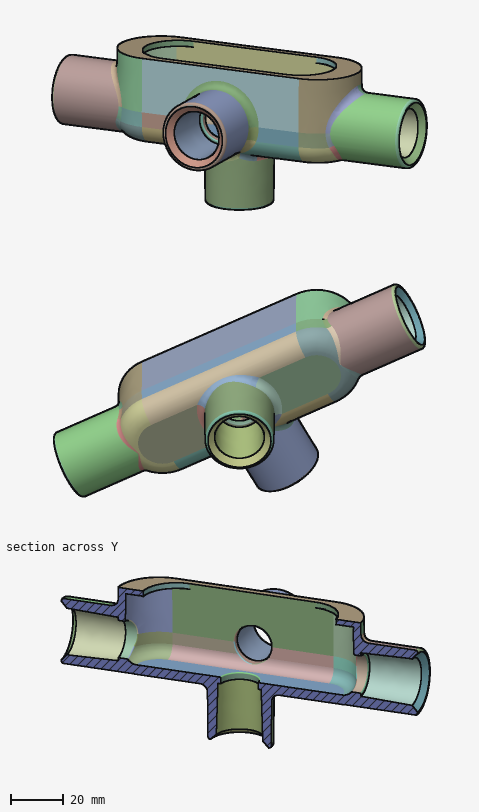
import cadquery as cq
import math

total_length = 147.2
overall_height = 57.1
body_depth = 34.9
parting_depth = 21.3
slot_center = 33.3
body_half_width = 17.2
draft_angle = 1.0
bottom_round = 7.8

wall = 3.2
floor_thickness = 4.1
floor_round = 4.7
lip_thickness = 2.4
opening_half_length = 39.8

hub_radius = 27.0 / 2
bottom_hub_root_radius = 13.5
bottom_hub_draft = 0.6
end_reach = total_length / 2
south_reach = 40.3
bottom_reach = overall_height - parting_depth
hub_blend = 3.0
hub_edge_round = 1.0

mouth_radius = 12.1
mouth_depth = 2.4
bore_radius = 19.0 / 2
bore_inner_radius = 8.8
stop_radius = 15.2 / 2
stop_length = 3.0
stop_round = 0.5

cavity_half_width = body_half_width - wall
cavity_half_length = slot_center + cavity_half_width
cavity_depth = body_depth - floor_thickness

SOUTH = cq.Vector(0, -1, 0)
DOWN = cq.Vector(0, 0, -1)
ENDS = [cq.Vector(-1, 0, 0), cq.Vector(1, 0, 0)]
hub_center = cq.Vector(0, 0, -parting_depth)


def drafted_slot(half_width, depth, edge_round):
    """Round-ended block from the rim down, drafted both ways from the parting plane."""
    outline = cq.Sketch().slot(2 * slot_center, 2 * half_width)
    base = cq.Workplane("XY", origin=hub_center.toTuple()).placeSketch(outline)
    upper = base.extrude(parting_depth, taper=draft_angle)
    lower = base.extrude(parting_depth - depth, taper=draft_angle)
    return upper.union(lower.faces("<Z").edges().fillet(edge_round))


def hub(direction, reach, root_radius=hub_radius, taper=0):
    """Round hub from the hub center, with its free edge rounded."""
    free_end = cq.selectors.DirectionMinMaxSelector(direction)
    plane = cq.Plane(hub_center, normal=direction)
    post = cq.Workplane(plane).circle(root_radius).extrude(reach, taper=taper)
    return post.faces(free_end).edges().fillet(hub_edge_round)


def bore(direction, reach, cavity_reach):
    """Cutter for one hub bore; cavity_reach is where the bore opens into the cavity."""
    stop_start = cavity_reach + stop_length
    mouth_start = reach - mouth_depth
    plane = cq.Plane(hub_center, normal=direction)
    half_section = [
        (0, 0),
        (stop_radius, 0),
        (stop_radius, stop_start),
        (bore_inner_radius, stop_start),
        (bore_radius, mouth_start),
        (mouth_radius, reach),
        (0, reach),
    ]
    section_plane = cq.Plane(hub_center, xDir=plane.xDir, normal=plane.xDir.cross(direction))
    return cq.Workplane(section_plane).polyline(half_section).close().revolve(360, (0, 0), (0, 1))


def edge_box(x_range, y_range, z_range):
    """Selector for the edges lying wholly inside a box."""
    low, high = zip(x_range, y_range, z_range)
    return cq.selectors.BoxSelector(low, high, boundingbox=True)


def blended_body():
    """Solid body with all four hubs joined by rounded blends."""
    margin = 0.22
    bottom_root_height = 1.8
    span = bottom_hub_root_radius + margin
    width_range = (-span, span)
    height_range = (-parting_depth - span, -parting_depth + span)
    end_x = slot_center + body_half_width + margin
    root_x = end_x - bottom_round
    side_y = body_half_width + margin

    solid = drafted_slot(body_half_width, body_depth, bottom_round)
    for direction in ENDS:
        solid = solid.union(hub(direction, end_reach))
    end_roots = (
        edge_box((-end_x, -root_x), width_range, height_range)
        + edge_box((root_x, end_x), width_range, height_range)
    )
    solid = solid.edges(end_roots).fillet(hub_blend)

    solid = solid.union(hub(SOUTH, south_reach))
    solid = solid.union(hub(DOWN, bottom_reach, bottom_hub_root_radius, bottom_hub_draft))
    south_root = edge_box(width_range, (-side_y, -side_y + bottom_round), height_range)
    bottom_root = edge_box(
        width_range,
        (-side_y, span),
        (-body_depth - margin, -body_depth + bottom_root_height),
    )
    return solid.edges(south_root + bottom_root).fillet(hub_blend)


def cavity():
    """Drafted cavity under the lip, and the opening through the lip, flush along the straight walls."""
    room = drafted_slot(cavity_half_width, cavity_depth, floor_round)
    below_lip = (
        cq.Workplane("XY", origin=(0, 0, -lip_thickness))
        .rect(total_length, total_length)
        .extrude(-body_depth)
    )
    narrowing = (parting_depth - lip_thickness) * math.tan(math.radians(draft_angle))
    opening_half_width = cavity_half_width - narrowing
    outline = cq.Sketch().slot(2 * (opening_half_length - opening_half_width), 2 * opening_half_width)
    opening = (
        cq.Workplane("XY", origin=(0, 0, -lip_thickness))
        .placeSketch(outline)
        .extrude(lip_thickness, taper=draft_angle)
    )
    return room.intersect(below_lip).union(opening)


def with_bore(solid, direction, reach, cavity_reach):
    """Cut one hub bore and round both rims of its stop ring."""
    solid = solid.cut(bore(direction, reach, cavity_reach))
    ring_middle = hub_center + direction * cavity_reach
    rim_margin = 0.1
    half_span = stop_radius + rim_margin
    depth_reach = bottom_round / 2
    spans = [
        depth_reach if component else half_span
        for component in direction.toTuple()
    ]
    ranges = [
        (middle - span, middle + span)
        for middle, span in zip(ring_middle.toTuple(), spans)
    ]
    return solid.edges(edge_box(*ranges)).edges("not %LINE").fillet(stop_round)


result = blended_body().cut(cavity())
for direction in ENDS:
    result = with_bore(result, direction, end_reach, cavity_half_length)
result = with_bore(result, SOUTH, south_reach, cavity_half_width)
result = with_bore(result, DOWN, bottom_reach, cavity_depth - parting_depth)